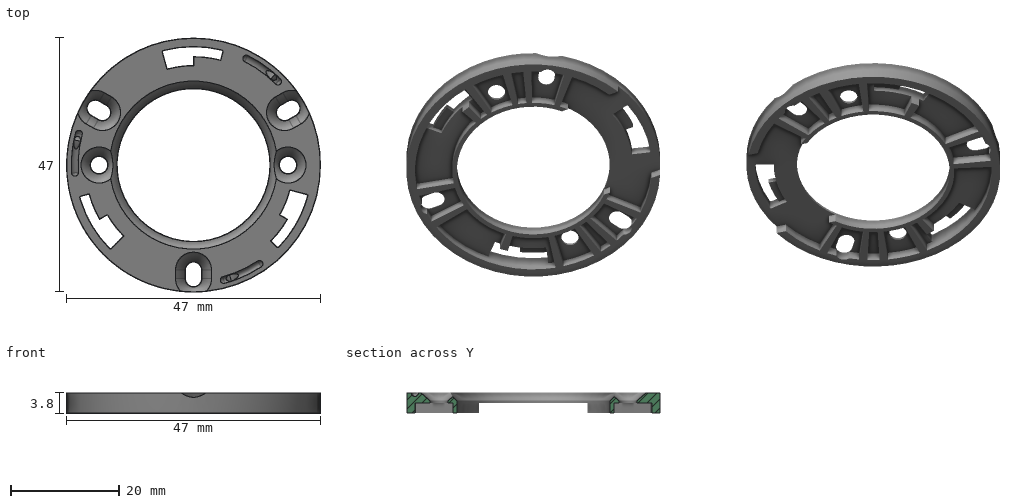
import cadquery as cq
import math

outer_radius = 23.5
height = 3.8
plate_thickness = 1.97
plate_bottom = height - plate_thickness
bore_radius = 14.15
bore_bevel_radius = 15.55
bore_bevel_depth = 1.5

overlap = 0.05

channel_inner_radius = 15.0
channel_outer_radius = 21.9
cable_gap_width = 20.0

pattern_turns = (0, 120, 240)

window_middle_angle = 90.0
window_start_angle = 75.5
window_end_angle = 105.4
window_wide_radius = 18.42
window_narrow_radius = 20.05
window_corner_fillet = 0.3
ledge_thickness = 1.0

screw_cell_half_angle = 8.0
screw_rib_outer_angle = 12.0
window_rib_start_angle = 97.7
window_rib_end_angle = 102.5

screw_hole_radius = 1.6
screw_hole_distance = 17.5
hole_angles = (0, 180)
countersink_radius = 3.35
hole_countersink_depth = 1.45
hole_step_radius = 1.65
hole_step_depth = 1.7
slot_angle = 30.0
slot_radius = 1.5
slot_inner_center = 19.45
slot_travel = 1.55
slot_countersink_depth = countersink_radius - slot_radius

groove_path_radius = 22.0
groove_radius = 0.635
groove_start_angle = 164.7
groove_end_angle = 183.7
bump_start_angle = 166.0
bump_crest_angle = 168.1
bump_end_angle = 172.2
bump_crest_depth = 0.15


def polar(radius, angle):
    return (radius * math.cos(math.radians(angle)), radius * math.sin(math.radians(angle)))


def disc(radius, bottom, top):
    return cq.Workplane("XY").workplane(offset=bottom).circle(radius).extrude(top - bottom)


def ring_sector(inner, outer, start, end, bottom, top):
    """Annular sector between two radii, two angles in degrees and two heights."""
    middle = (start + end) / 2
    reach = 2 * outer
    wedge = (
        cq.Workplane("XY")
        .workplane(offset=bottom)
        .polyline([(0, 0), polar(reach, start), polar(reach, middle), polar(reach, end)])
        .close()
        .extrude(top - bottom)
    )
    return disc(outer, bottom, top).cut(disc(inner, bottom, top)).intersect(wedge)


def countersink(x, bottom_radius, depth):
    """Cone that opens at the top face."""
    return cq.Workplane(
        cq.Solid.makeCone(bottom_radius, countersink_radius, depth, pnt=cq.Vector(x, 0, height - depth))
    )


def patterned(body):
    """Joined copies of a body around the ring axis."""
    copies = [body.rotate((0, 0, 0), (0, 0, 1), turn) for turn in pattern_turns]
    return copies[0].union(copies[1]).union(copies[2])


def ring_body():
    """Flat ring with a bevelled bore and a channel under its plate."""
    body = disc(outer_radius, 0, height).cut(disc(bore_radius, 0, height))
    bevel_start = cq.Vector(0, 0, height - bore_bevel_depth)
    bevel = cq.Solid.makeCone(bore_radius, bore_bevel_radius, bore_bevel_depth, pnt=bevel_start)
    channel = disc(channel_outer_radius, 0, plate_bottom).cut(disc(channel_inner_radius, 0, plate_bottom))
    return body.cut(cq.Workplane(bevel)).cut(channel)


def cable_gap():
    """Opening below the plate, through lip and rim on the +Y side."""
    return (
        cq.Workplane("XY")
        .center(0, outer_radius / 2)
        .rect(cable_gap_width, outer_radius)
        .extrude(plate_bottom)
    )


def window():
    """Stepped opening with a ledge over a pocket at its narrow end."""
    outer = channel_outer_radius
    narrow = ring_sector(window_narrow_radius, outer, window_start_angle, window_end_angle, 0, height)
    wide = ring_sector(window_wide_radius, outer, window_middle_angle, window_end_angle, 0, height)
    opening = narrow.union(wide)
    for angle in (window_start_angle, window_end_angle):
        corner = cq.selectors.NearestToPointSelector((*polar(outer, angle), height / 2))
        opening = opening.edges("|Z").edges(corner).fillet(window_corner_fillet)
    pocket = ring_sector(
        window_wide_radius,
        window_narrow_radius + overlap,
        window_start_angle,
        window_middle_angle,
        0,
        height - ledge_thickness,
    )
    return opening.union(pocket)


def rib(start, end, outer):
    """Radial rib from the bore lip, under the plate."""
    inner = channel_inner_radius - overlap
    return ring_sector(inner, outer, start, end, 0, plate_bottom + overlap)


def screw_ribs(angle):
    """Two ribs, one on each side of a screw position."""
    outer = channel_outer_radius + overlap
    right = rib(angle - screw_rib_outer_angle, angle - screw_cell_half_angle, outer)
    left = rib(angle + screw_cell_half_angle, angle + screw_rib_outer_angle, outer)
    return right.union(left)


def screw_hole(angle):
    """Countersunk hole with a small step below the countersink."""
    shank = disc(screw_hole_radius, 0, height)
    step = disc(hole_step_radius, height - hole_step_depth, height)
    hole = shank.union(step).translate((screw_hole_distance, 0, 0))
    hole = hole.union(countersink(screw_hole_distance, hole_step_radius, hole_countersink_depth))
    return hole.rotate((0, 0, 0), (0, 0, 1), angle)


def screw_slot():
    """Radial countersunk slot, shaped along +X and turned to its angle."""
    countersink_bottom = height - slot_countersink_depth
    middle = slot_inner_center + slot_travel / 2
    through = (
        cq.Workplane("XY")
        .center(middle, 0)
        .slot2D(slot_travel + 2 * slot_radius, 2 * slot_radius)
        .extrude(height)
    )
    flank = (
        cq.Workplane("YZ")
        .workplane(offset=slot_inner_center)
        .polyline(
            [
                (-slot_radius, countersink_bottom),
                (slot_radius, countersink_bottom),
                (countersink_radius, height),
                (-countersink_radius, height),
            ]
        )
        .close()
        .extrude(slot_travel)
    )
    slot = through.union(flank)
    for x in (slot_inner_center, slot_inner_center + slot_travel):
        slot = slot.union(countersink(x, slot_radius, slot_countersink_depth))
    return slot.rotate((0, 0, 0), (0, 0, 1), slot_angle)


def groove():
    """Round-bottomed arc groove with ball ends and a detent ridge left standing in it."""
    sweep = groove_end_angle - groove_start_angle
    body = (
        cq.Workplane("XZ")
        .center(groove_path_radius, height)
        .circle(groove_radius)
        .revolve(sweep, (-groove_path_radius, 0, 0), (-groove_path_radius, 1, 0))
        .rotate((0, 0, 0), (0, 0, 1), groove_start_angle)
    )
    for angle in (groove_start_angle, groove_end_angle):
        center = (*polar(groove_path_radius, angle), height)
        body = body.union(cq.Workplane("XY").sphere(groove_radius).translate(center))
    return body.cut(bump())


def bump():
    """Triangular ridge across the groove."""
    normal = cq.Vector(*polar(1, bump_crest_angle), 0)
    tangent = cq.Vector(*polar(1, bump_crest_angle + 90), 0)
    inner_end = normal * (groove_path_radius - 2 * groove_radius)
    plane = cq.Plane(origin=inner_end, xDir=tangent, normal=normal)
    back = groove_path_radius * math.radians(bump_start_angle - bump_crest_angle)
    front = groove_path_radius * math.radians(bump_end_angle - bump_crest_angle)
    floor = height - groove_radius
    profile = [(back, floor), (0, height - bump_crest_depth), (front, floor)]
    return cq.Workplane(plane).polyline(profile).close().extrude(4 * groove_radius)


result = ring_body().union(patterned(screw_ribs(slot_angle)))
result = result.union(patterned(rib(window_rib_start_angle, window_rib_end_angle, window_wide_radius)))
for angle in hole_angles:
    result = result.union(screw_ribs(angle))
result = result.cut(cable_gap()).cut(patterned(window()))
for angle in hole_angles:
    result = result.cut(screw_hole(angle))
result = result.cut(patterned(screw_slot())).cut(patterned(groove())).clean()